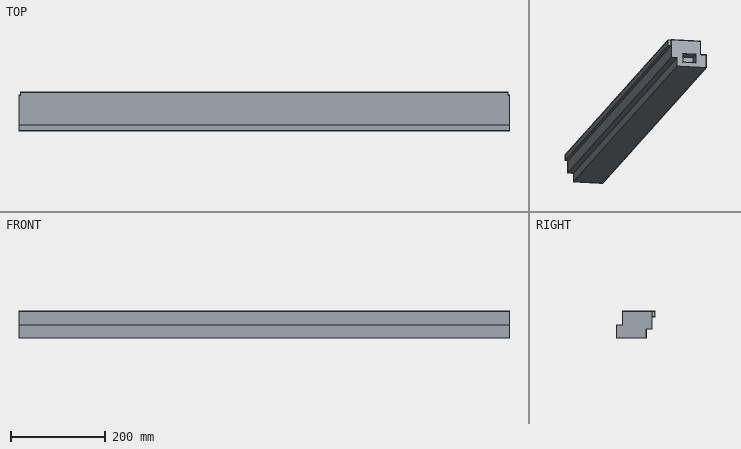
import cadquery as cq

length = 1041.0
depth = 82.0
height = 57.0
lip_reach = 6.0
lip_height = 12.0
lip_setback = 3.3
front_step = 12.0
ledge_height = 28.0
back_step = 12.0
back_step_height = 19.0
pocket_width = 28.0
pocket_height = 19.0
pocket_front = 23.0
pocket_depth = 31.0
pocket_bottom = 9.0

upper_back = depth - lip_reach
lower_back = upper_back - back_step


def make_body():
    """Stepped bar: the upper body is shifted backward over the lower body."""
    outline = [
        (0, 0),
        (lower_back, 0),
        (lower_back, back_step_height),
        (upper_back, back_step_height),
        (upper_back, height),
        (front_step, height),
        (front_step, ledge_height),
        (0, ledge_height),
    ]
    return cq.Workplane("YZ").polyline(outline).close().extrude(length)


def make_lip():
    """Lip along the top back edge, stopping short of both ends."""
    lip_length = length - 2 * lip_setback
    lip = cq.Workplane("XY").box(lip_length, lip_reach, lip_height, centered=False)
    return lip.translate((lip_setback, upper_back, height - lip_height))


def make_pocket():
    """Blind rectangular pocket in the end face at X = 0."""
    pocket = cq.Workplane("XY").box(pocket_depth, pocket_width, pocket_height, centered=False)
    return pocket.translate((0, pocket_front, pocket_bottom))


result = make_body().union(make_lip()).cut(make_pocket())